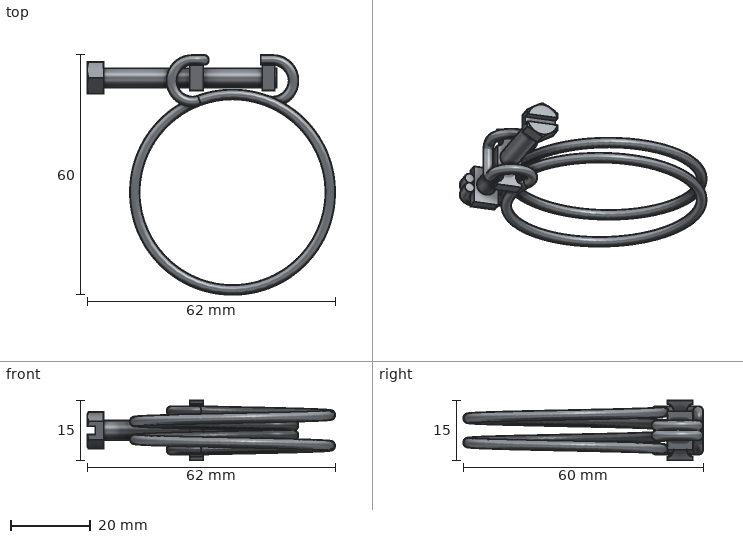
import cadquery as cq
import math


wire_radius = 1.25
ring_radius = 24.45
hook_radius = 5.2
hook_x = 10.05
outer_wire_z = 4.85
inner_wire_z = wire_radius

hook_distance = ring_radius + hook_radius
hook_y = math.sqrt(hook_distance**2 - hook_x**2)
hook_top_y = hook_y + hook_radius
joint_angle = math.degrees(math.atan2(hook_y, hook_x))
joint_x = hook_x * ring_radius / hook_distance
joint_y = hook_y * ring_radius / hook_distance

tail_end_x = 7.0
bridge_x = -7.15
bridge_bend = 2.25

bar_x = 9.0
bar_width = 6.4
left_bar_thickness = 3.4
left_bar_length = 15.0
right_bar_thickness = 3.15
right_bar_length = 9.7
groove_radius = 1.8
groove_depth = 1.55

bolt_y = 28.6
shank_radius = 2.5
shank_end_x = 11.1
head_start_x = -36.35
head_height = 4.1
head_flats = 8.0
slot_width = 2.0
slot_depth = 2.0
head_chamfer_angle = 30


def make_bolt():
    """Hexagon bolt along X with a slotted, chamfered head; two head corners point along Z."""
    flat_radius = head_flats / 2
    corner_radius = flat_radius / math.cos(math.pi / 6)
    chamfer_width = corner_radius - flat_radius
    chamfer_depth = chamfer_width * math.tan(math.radians(head_chamfer_angle))
    head_plane = cq.Plane((head_start_x, bolt_y, 0), xDir=(0, 0, 1), normal=(1, 0, 0))

    head = cq.Workplane(head_plane).polygon(6, 2 * corner_radius).extrude(head_height)
    envelope = cq.Workplane(head_plane).circle(corner_radius).extrude(head_height)
    envelope = envelope.faces("<X").chamfer(chamfer_depth, chamfer_width)
    head = head.intersect(envelope)

    slot = cq.Workplane(head_plane).rect(slot_width, 2 * corner_radius).extrude(slot_depth)
    shank_plane = cq.Plane((head_start_x + head_height, bolt_y, 0), xDir=(0, 0, 1), normal=(1, 0, 0))
    shank_length = shank_end_x - head_start_x - head_height
    shank = cq.Workplane(shank_plane).circle(shank_radius).extrude(shank_length)
    return head.cut(slot).union(shank)


def make_bar(center_x, thickness, length):
    """Upright bar with a hole for the bolt."""
    start_plane = cq.Plane((center_x - thickness / 2, bolt_y, 0), xDir=(0, 1, 0), normal=(1, 0, 0))
    return (
        cq.Workplane(start_plane)
        .rect(bar_width, length)
        .circle(shank_radius)
        .extrude(thickness)
    )


def make_left_bar():
    """Long bar with four grooves along X on its edges, level with the left hooks."""
    bar = make_bar(-bar_x, left_bar_thickness, left_bar_length)
    groove_offset = bar_width / 2 + groove_radius - groove_depth
    groove_centers = [
        (side * groove_offset, level * outer_wire_z) for side in (-1, 1) for level in (-1, 1)
    ]
    start_plane = cq.Plane(
        (-bar_x - left_bar_thickness / 2, bolt_y, 0), xDir=(0, 1, 0), normal=(1, 0, 0)
    )
    grooves = (
        cq.Workplane(start_plane)
        .pushPoints(groove_centers)
        .circle(groove_radius)
        .extrude(left_bar_thickness)
    )
    return bar.cut(grooves)


def joint_section(side, z):
    """Wire section at the joint of ring and hook; side is -1 for the left joint, 1 for the right."""
    plane = cq.Plane((side * joint_x, joint_y, z), xDir=(0, 0, 1), normal=(joint_y, -side * joint_x, 0))
    return cq.Workplane(plane).circle(wire_radius)


def hook_arc(side, z):
    """Hook centre line from the ring joint round the outside to the top of the hook."""
    half_turn = math.radians(90 + joint_angle) / 2
    middle = cq.Vector(
        side * (hook_x + hook_radius * math.sin(half_turn)),
        hook_y + hook_radius * math.cos(half_turn),
        z,
    )
    start = cq.Vector(side * joint_x, joint_y, z)
    return cq.Edge.makeThreePointArc(start, middle, cq.Vector(side * hook_x, hook_top_y, z))


def make_ring_wire():
    """Upper ring wire: a little over one turn, rising from the right hook to the left joint."""
    turns = 1 + (180 - 2 * joint_angle) / 360
    rise = outer_wire_z - inner_wire_z
    helix = cq.Wire.makeHelix(rise / turns, rise, ring_radius)
    helix = helix.rotate(cq.Vector(0, 0, 0), cq.Vector(0, 0, 1), joint_angle)
    helix = helix.translate(cq.Vector(0, 0, inner_wire_z))
    ring = joint_section(1, inner_wire_z).sweep(cq.Workplane(helix), isFrenet=True)

    tail = cq.Edge.makeLine(
        cq.Vector(hook_x, hook_top_y, inner_wire_z),
        cq.Vector(tail_end_x, hook_top_y, inner_wire_z),
    )
    hook_path = cq.Wire.assembleEdges([hook_arc(1, inner_wire_z), tail])
    hook = joint_section(1, inner_wire_z).sweep(cq.Workplane(hook_path))
    return ring.union(hook)


def make_loop_wire():
    """Both left hooks and the bent bridge between them, as one piece of wire."""
    bend_start_x = bridge_x - bridge_bend
    straight_z = outer_wire_z - bridge_bend
    bend_inset = bridge_bend * (1 - math.sqrt(0.5))
    half_edges = [
        hook_arc(-1, outer_wire_z),
        cq.Edge.makeLine(
            cq.Vector(-hook_x, hook_top_y, outer_wire_z),
            cq.Vector(bend_start_x, hook_top_y, outer_wire_z),
        ),
        cq.Edge.makeThreePointArc(
            cq.Vector(bend_start_x, hook_top_y, outer_wire_z),
            cq.Vector(bridge_x - bend_inset, hook_top_y, outer_wire_z - bend_inset),
            cq.Vector(bridge_x, hook_top_y, straight_z),
        ),
        cq.Edge.makeLine(
            cq.Vector(bridge_x, hook_top_y, straight_z),
            cq.Vector(bridge_x, hook_top_y, 0),
        ),
    ]
    path = cq.Wire.assembleEdges(half_edges)
    half = joint_section(-1, outer_wire_z).sweep(cq.Workplane(path))
    return half.union(half.mirror("XY"))


bolt = make_bolt()
left_bar = make_left_bar()
right_bar = make_bar(bar_x, right_bar_thickness, right_bar_length)
loop_wire = make_loop_wire()
upper_ring_wire = make_ring_wire()
lower_ring_wire = upper_ring_wire.mirror("XY")

result = cq.Compound.makeCompound(
    [
        bolt.val(),
        left_bar.val(),
        right_bar.val(),
        loop_wire.val(),
        upper_ring_wire.val(),
        lower_ring_wire.val(),
    ]
)